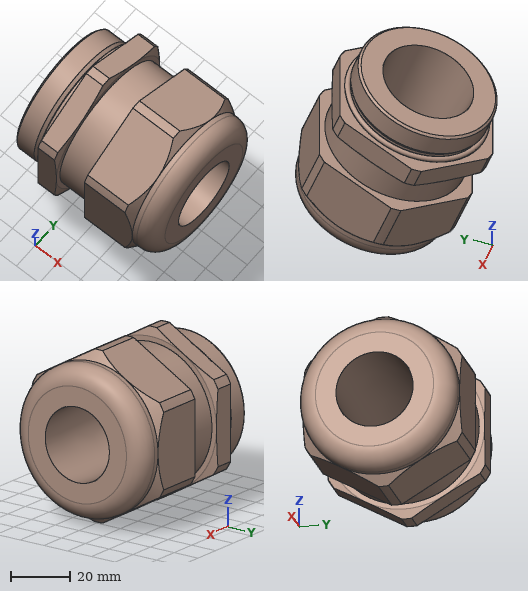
import cadquery as cq

total_length = 62.0

entry_face_diameter = 48.35
thread_diameter = 50.05
entry_chamfer_length = 0.75
thread_end = 8.2
undercut_start = 9.55
undercut_diameter = entry_face_diameter

ring_diameter = 52.2
ring_section_radius = 1.0
ring_center = 11.05

across_flats = 55.0
across_corners = 61.55
body_hex_start = 11.9
body_hex_corner_end = 19.15
body_hex_end = 19.95
cap_hex_start = 32.3
cap_hex_corner_end = 50.05
cap_hex_end = 53.25

neck_diameter = 51.2
cap_round_radius = 6.8

bore_entry_diameter = 32.7
bore_exit_diameter = 27.0


def revolve_about_x(outline):
    """Turn a closed (x, radius) outline about the part axis."""
    return outline.close().revolve(360, (0, 0, 0), (1, 0, 0))


def make_hexagon(start, corner_end, end):
    """Hexagon with turned corners and a cone running out at the flats."""
    prism = (
        cq.Workplane("YZ", origin=(start, 0, 0))
        .polygon(6, across_flats, circumscribed=True)
        .extrude(end - start)
    )
    envelope = revolve_about_x(
        cq.Workplane("XY")
        .moveTo(start, 0)
        .lineTo(start, across_corners / 2)
        .lineTo(corner_end, across_corners / 2)
        .lineTo(end, across_flats / 2)
        .lineTo(end, 0)
    )
    return prism.intersect(envelope)


def make_core():
    """Turned entry thread, undercut and neck, reaching into the cap nut."""
    return revolve_about_x(
        cq.Workplane("XY")
        .lineTo(0, entry_face_diameter / 2)
        .lineTo(entry_chamfer_length, thread_diameter / 2)
        .lineTo(thread_end, thread_diameter / 2)
        .lineTo(undercut_start, undercut_diameter / 2)
        .lineTo(body_hex_start, undercut_diameter / 2)
        .lineTo(body_hex_start, neck_diameter / 2)
        .lineTo(cap_hex_end, neck_diameter / 2)
        .lineTo(cap_hex_end, 0)
    )


def make_sealing_ring():
    """Round-section ring seated in the undercut."""
    section_center_radius = ring_diameter / 2 - ring_section_radius
    return (
        cq.Workplane("XY")
        .center(ring_center, section_center_radius)
        .circle(ring_section_radius)
        .revolve(360, (0, -section_center_radius, 0), (1, -section_center_radius, 0))
    )


def make_ring_seat():
    """Solid core under the ring, joining it to the undercut."""
    seat_radius = ring_diameter / 2 - ring_section_radius
    return (
        cq.Workplane("YZ", origin=(ring_center, 0, 0))
        .circle(seat_radius)
        .extrude(body_hex_start - ring_center)
    )


def make_cap_end():
    """Round cap end with a full edge radius."""
    return (
        cq.Workplane("YZ", origin=(cap_hex_end, 0, 0))
        .circle(across_flats / 2)
        .extrude(total_length - cap_hex_end)
        .faces(">X")
        .edges()
        .fillet(cap_round_radius)
    )


def make_bore():
    """Conical passage narrowing from the entry to the cap."""
    return revolve_about_x(
        cq.Workplane("XY")
        .lineTo(0, bore_entry_diameter / 2)
        .lineTo(total_length, bore_exit_diameter / 2)
        .lineTo(total_length, 0)
    )


body_hex = make_hexagon(body_hex_start, body_hex_corner_end, body_hex_end)
cap_hex = make_hexagon(cap_hex_start, cap_hex_corner_end, cap_hex_end)

result = (
    make_core()
    .union(make_ring_seat())
    .union(make_sealing_ring())
    .union(body_hex)
    .union(cap_hex)
    .union(make_cap_end())
    .cut(make_bore())
)